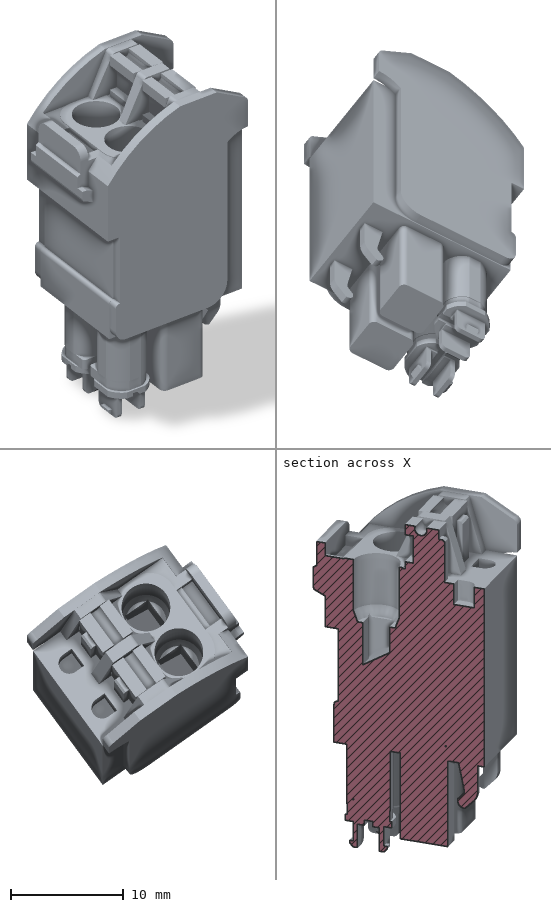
import cadquery as cq
import math


WIDTH = 12.5
DEPTH = 15.25
HEIGHT = 22.5
PLATE = 0.95
POLES = (-2.5, 2.5)
CORE_WIDTH = WIDTH - 2 * PLATE
CORE_HALF = CORE_WIDTH / 2

COLLAR_BOTTOM = 11.11
COLLAR_TOP = 16.97
CREST_REAR_Y = 11.83
CREST_FRONT_Y = 7.85
RECESS_Y = 1.23
PLATE_RECESS_Y = 1.34
FOOT_Y = 0.82
PLATE_FOOT_Y = 0.87
FOOT_TOP = 4.08
FOOT_RADIUS = 0.41
PLATE_BOTTOM = 0.1
PLATE_TOE_RADIUS = 1.1
PLATE_HEEL_RADIUS = 2.1

REAR_LEDGE = 17.39
PLATE_REAR_Y = 12.98
TAB_BOTTOM = 17.67

FLOOR = 18.08
FLOOR_FRONT_Y = 1.07
PAD_TOP = 18.15
PAD_FRONT_Y = 1.79
PAD_REAR_Y = 7.45
PAD_RADIUS = 2.4
BORE_Y = 4.9
BORE_RADIUS = 2.17
BORE_END_RADIUS = 1.8
BORE_DEPTH = 5.0
BORE_TAPER_DEPTH = 1.0
CLAMP_X = 2.9
CLAMP_Y = 2.55
CLAMP_DEPTH = 3.0
CLAMP_SLOPE = 32.0
CLAMP_OVERLAP = 0.5

LEVER_WIDTH = 3.6
LEVER_TOP = 22.39
LEVER_FRONT_Y = 7.65
LEVER_REAR_Y = 10.9
LEVER_STEM_Y = 8.4
LEVER_LEDGE = 18.77
LEVER_BAR_BOTTOM = 21.36
GROOVE_FRONT_Y = 8.67
GROOVE_REAR_Y = 9.7
LEVER_TAB_WIDTH = 1.47
LEVER_TAB_REAR_Y = 11.46
LEVER_TAB_TOP = 21.5
LEVER_TAB_CHAMFER = 0.2
RIB_TOP = HEIGHT - 0.04
RIB_FRONT_Y = 5.98
RIB_REAR_Y = 12.27
RIB_HALF_TOP = 0.59
RIB_HALF_FLOOR = 0.47
SIDE_RIB_TOP = 0.96
SIDE_RIB_FLOOR = 0.74

OPENING_WIDTH = 1.9
OPENING_FRONT_Y = 12.35
OPENING_DEPTH = 2.0

LATCH_HALF = 3.23
LATCH_BOTTOM = 14.1
LATCH_TOP = 19.36
LATCH_CORNER = 1.05
LATCH_TAB_Y = -0.84
LATCH_FRONT_Y = -1.16
LATCH_BACK_Y = 0.04
LATCH_STEP_TOP = 16.75
WING_HALF = 3.98
WING_TOP = 15.6
WING_ROOT_TOP = 15.3
SLOT_HALF = 2.2
SLOT_DEPTH = 0.5
SLOT_STEP_Y = 1.2
SLOT_STEP_DEPTH = 1.0

POST_Y = 4.15
POST_RADIUS = 2.21
POST_FLATS = 4.26
POST_BOTTOM = -5.77
NECK_RADIUS = 2.16
NECK_FLATS = 4.14
NECK_KEY_RADIUS = 0.3
FLANGE_TOP = -6.79
FLANGE_BOTTOM = -7.43
FLANGE_RADIUS = 2.46
FLANGE_FLATS = 4.48
FORK_HALF = 1.48
PRONG_THICKNESS = 0.45
PRONG_WIDTH = 2.93
PRONG_CORNER = 0.5
FORK_BOTTOM = -9.9
BARB_TOP = -9.26
BARB_TIP = -9.5
BARB_REACH = 0.35
BARB_WIDTH = 1.15
FORK_NOTCH_WIDTH = 0.74
FORK_NOTCH_DEPTH = 0.32
FORK_BRIDGE_BOTTOM = -7.62
SOCKET_WIDTH = 4.13
SOCKET_FRONT_Y = 7.18
SOCKET_REAR_Y = 11.75
SOCKET_BOTTOM = -8.35
SOCKET_RADIUS = 0.55
HOOK_WIDTH = 0.75
HOOK_REAR_Y = 14.63
HOOK_ROOT_Y = 12.76
HOOK_THROAT_Y = 13.28

OVERLAP = 0.5


def box(x0, x1, y0, y1, z0, z1):
    """Axis-aligned box between opposite corners."""
    return cq.Workplane("XY").box(x1 - x0, y1 - y0, z1 - z0, centered=False).translate((x0, y0, z0))


def extrude_x(profile, x0, x1):
    """Extrude a closed YZ profile from x0 to x1."""
    return profile.extrude(x1 - x0).translate((x0, 0, 0))


def side_sheet(y, z):
    """Start a YZ profile at the given point."""
    return cq.Workplane("YZ").moveTo(y, z)


def upper_outline(sheet):
    """Continue a side profile up the collar, over the curved brow and the flat top."""
    return (
        sheet.lineTo(0, COLLAR_BOTTOM)
        .lineTo(0, COLLAR_TOP)
        .threePointArc((3.35, 20.27), (CREST_FRONT_Y, HEIGHT))
        .lineTo(CREST_REAR_Y, HEIGHT)
    )


def side_plate_profile():
    toe = PLATE_TOE_RADIUS
    heel = PLATE_HEEL_RADIUS
    diagonal = 1 - math.sqrt(0.5)
    sheet = (
        side_sheet(PLATE_REAR_Y - heel, PLATE_BOTTOM)
        .lineTo(PLATE_FOOT_Y + toe, PLATE_BOTTOM)
        .threePointArc(
            (PLATE_FOOT_Y + toe * diagonal, PLATE_BOTTOM + toe * diagonal),
            (PLATE_FOOT_Y, PLATE_BOTTOM + toe),
        )
        .lineTo(PLATE_FOOT_Y, FOOT_TOP - FOOT_RADIUS)
        .radiusArc((PLATE_FOOT_Y + FOOT_RADIUS, FOOT_TOP), FOOT_RADIUS)
        .lineTo(PLATE_RECESS_Y, FOOT_TOP)
        .lineTo(PLATE_RECESS_Y, COLLAR_BOTTOM)
    )
    return (
        upper_outline(sheet)
        .lineTo(14.75, 20.92)
        .threePointArc((15.09, 20.7), (DEPTH, 20.37))
        .lineTo(DEPTH, TAB_BOTTOM)
        .threePointArc((13.95, 17.38), (PLATE_REAR_Y, 16.8))
        .lineTo(PLATE_REAR_Y, PLATE_BOTTOM + heel)
        .threePointArc(
            (PLATE_REAR_Y - heel * diagonal, PLATE_BOTTOM + heel * diagonal),
            (PLATE_REAR_Y - heel, PLATE_BOTTOM),
        )
        .close()
    )


def core_profile():
    sheet = (
        side_sheet(DEPTH, 0)
        .lineTo(FOOT_Y, 0)
        .lineTo(FOOT_Y, FOOT_TOP - FOOT_RADIUS)
        .radiusArc((FOOT_Y + FOOT_RADIUS, FOOT_TOP), FOOT_RADIUS)
        .lineTo(RECESS_Y, COLLAR_BOTTOM)
    )
    return upper_outline(sheet).lineTo(CREST_REAR_Y, REAR_LEDGE).lineTo(DEPTH, REAR_LEDGE).close()


def housing():
    """Core between the two side plates, opened above the wire entry floor."""
    half = WIDTH / 2
    body = extrude_x(core_profile(), -CORE_HALF, CORE_HALF)
    body = body.union(extrude_x(side_plate_profile(), -half, -CORE_HALF))
    body = body.union(extrude_x(side_plate_profile(), CORE_HALF, half))
    body = body.cut(box(-CORE_HALF, CORE_HALF, FLOOR_FRONT_Y, LEVER_REAR_Y, FLOOR, HEIGHT))
    body = body.cut(box(-CORE_HALF, CORE_HALF, LEVER_REAR_Y, DEPTH, REAR_LEDGE, HEIGHT))
    notch = box(-LATCH_HALF, LATCH_HALF, LATCH_BACK_Y, FLOOR_FRONT_Y, COLLAR_TOP, HEIGHT)
    landing = box(-LATCH_HALF, LATCH_HALF, LATCH_BACK_Y, FLOOR_FRONT_Y, COLLAR_TOP, FLOOR)
    return body.cut(notch).union(landing)


def entry_pad():
    """Slightly raised pad around the wire entries, rounded at its front corners."""
    pad = box(-CORE_HALF, CORE_HALF, PAD_FRONT_Y, PAD_REAR_Y, FLOOR - OVERLAP, PAD_TOP)
    return pad.edges("|Z and <Y").fillet(PAD_RADIUS)


def lever(x):
    """Release lever: two cross bars around a finger groove, on an undercut stem."""
    profile = (
        side_sheet(LEVER_FRONT_Y, REAR_LEDGE - OVERLAP)
        .lineTo(LEVER_FRONT_Y, LEVER_LEDGE)
        .lineTo(LEVER_STEM_Y, LEVER_LEDGE)
        .lineTo(LEVER_STEM_Y, LEVER_BAR_BOTTOM)
        .lineTo(LEVER_FRONT_Y, LEVER_BAR_BOTTOM)
        .lineTo(LEVER_FRONT_Y, LEVER_TOP)
        .lineTo(GROOVE_FRONT_Y, LEVER_TOP)
        .threePointArc((9.35, 21.6), (GROOVE_REAR_Y, 21.95))
        .lineTo(GROOVE_REAR_Y, LEVER_TOP)
        .lineTo(LEVER_REAR_Y, LEVER_TOP)
        .lineTo(LEVER_REAR_Y, REAR_LEDGE - OVERLAP)
        .close()
    )
    bar = extrude_x(profile, x - LEVER_WIDTH / 2, x + LEVER_WIDTH / 2)
    tab_half = LEVER_TAB_WIDTH / 2
    tab = box(x - tab_half, x + tab_half, LEVER_REAR_Y, LEVER_TAB_REAR_Y, REAR_LEDGE, LEVER_TAB_TOP)
    return bar.union(tab.edges(">Y and >Z").chamfer(LEVER_TAB_CHAMFER))


def ribs():
    """Three ribs beside the levers, thinner towards the floor in front of the levers' rear faces."""
    side = extrude_x(
        side_sheet(RIB_FRONT_Y, REAR_LEDGE - OVERLAP)
        .lineTo(RIB_FRONT_Y, PAD_TOP)
        .lineTo(7.87, RIB_TOP - 0.32)
        .threePointArc((8.02, RIB_TOP - 0.09), (8.3, RIB_TOP))
        .lineTo(10.7, RIB_TOP)
        .lineTo(RIB_REAR_Y, REAR_LEDGE)
        .lineTo(RIB_REAR_Y, REAR_LEDGE - OVERLAP)
        .close(),
        -CORE_HALF,
        CORE_HALF,
    )
    low = REAR_LEDGE - OVERLAP
    middle = [
        (-RIB_HALF_FLOOR, low),
        (RIB_HALF_FLOOR, low),
        (RIB_HALF_FLOOR, PAD_TOP),
        (RIB_HALF_TOP, RIB_TOP),
        (-RIB_HALF_TOP, RIB_TOP),
        (-RIB_HALF_FLOOR, PAD_TOP),
    ]
    right = [
        (CORE_HALF, low),
        (CORE_HALF, RIB_TOP),
        (CORE_HALF - SIDE_RIB_TOP, RIB_TOP),
        (CORE_HALF - SIDE_RIB_FLOOR, PAD_TOP),
        (CORE_HALF - SIDE_RIB_FLOOR, low),
    ]
    left = [(-x, z) for x, z in right]
    sections = cq.Workplane("XZ")
    for outline in (left, middle, right):
        sections = sections.polyline(outline).close()
    tapered = side.intersect(sections.extrude(-DEPTH))
    side_inner = CORE_HALF - SIDE_RIB_TOP
    for x0, x1 in ((-CORE_HALF, -side_inner), (-RIB_HALF_TOP, RIB_HALF_TOP), (side_inner, CORE_HALF)):
        rear = side.intersect(box(x0, x1, LEVER_REAR_Y, RIB_REAR_Y, low, RIB_TOP))
        tapered = tapered.union(rear)
    return tapered


def wire_entry(x):
    """Round bore with a tapered end, opening into a rectangular chamber with a sloping floor."""
    bore = cq.Workplane("XY", origin=(x, BORE_Y, PAD_TOP)).circle(BORE_RADIUS).extrude(-BORE_DEPTH)
    taper = (
        cq.Workplane("XY", origin=(x, BORE_Y, PAD_TOP - BORE_DEPTH))
        .circle(BORE_RADIUS)
        .workplane(offset=-BORE_TAPER_DEPTH)
        .circle(BORE_END_RADIUS)
        .loft()
    )
    chamber_top = PAD_TOP - BORE_DEPTH - BORE_TAPER_DEPTH + CLAMP_OVERLAP
    rear_floor = chamber_top - CLAMP_DEPTH
    front_floor = rear_floor - CLAMP_Y * math.tan(math.radians(CLAMP_SLOPE))
    front_y = BORE_Y - CLAMP_Y / 2
    rear_y = BORE_Y + CLAMP_Y / 2
    chamber = extrude_x(
        side_sheet(front_y, front_floor)
        .lineTo(rear_y, rear_floor)
        .lineTo(rear_y, chamber_top)
        .lineTo(front_y, chamber_top)
        .close(),
        x - CLAMP_X / 2,
        x + CLAMP_X / 2,
    )
    return bore.union(taper).union(chamber)


def test_opening(x):
    """Pocket with a straight front and a half-round rear."""
    radius = OPENING_WIDTH / 2
    centre_y = OPENING_FRONT_Y + radius
    return (
        cq.Workplane("XY", origin=(x, 0, REAR_LEDGE))
        .moveTo(-radius, OPENING_FRONT_Y)
        .lineTo(radius, OPENING_FRONT_Y)
        .lineTo(radius, centre_y)
        .threePointArc((0, centre_y + radius), (-radius, centre_y))
        .close()
        .extrude(-OPENING_DEPTH)
    )


def latch_underside():
    """Start a latch profile with its sloping lower edge and small front bevel."""
    return (
        side_sheet(OVERLAP, LATCH_BOTTOM)
        .lineTo(0, LATCH_BOTTOM)
        .lineTo(-1.1, 14.59)
        .lineTo(LATCH_FRONT_Y, 14.8)
    )


def latch():
    """Upright finger tab with a stepped body and two side wings, on the collar front."""
    tab = box(-LATCH_HALF, LATCH_HALF, LATCH_TAB_Y, LATCH_BACK_Y, LATCH_BOTTOM + OVERLAP, LATCH_TOP)
    tab = tab.edges("|Y and >Z").fillet(LATCH_CORNER)
    step = extrude_x(
        latch_underside()
        .lineTo(LATCH_FRONT_Y, LATCH_STEP_TOP)
        .lineTo(LATCH_TAB_Y, COLLAR_TOP)
        .lineTo(OVERLAP, COLLAR_TOP)
        .close(),
        -LATCH_HALF,
        LATCH_HALF,
    )
    wings = extrude_x(
        latch_underside()
        .lineTo(LATCH_FRONT_Y, WING_TOP)
        .lineTo(-0.7, WING_TOP)
        .lineTo(0, WING_ROOT_TOP)
        .lineTo(OVERLAP, WING_ROOT_TOP)
        .close(),
        -WING_HALF,
        WING_HALF,
    )
    return tab.union(step).union(wings)


def latch_slot():
    """Two-step relief in the floor behind the latch tab, deeper next to the tab."""
    shallow = box(-SLOT_HALF, SLOT_HALF, LATCH_BACK_Y, PAD_FRONT_Y, FLOOR - SLOT_DEPTH, PAD_TOP)
    deep = box(-SLOT_HALF, SLOT_HALF, LATCH_BACK_Y, SLOT_STEP_Y, FLOOR - SLOT_STEP_DEPTH, PAD_TOP)
    return shallow.union(deep)


def flatted_disc(radius, flats, z_bottom, z_top):
    """Round disc or post with a flat on each of its four sides."""
    half = flats / 2
    disc = cq.Workplane("XY", origin=(0, 0, z_bottom)).circle(radius).extrude(z_top - z_bottom)
    return disc.intersect(box(-half, half, -half, half, z_bottom, z_top))


def contact_fork():
    """Two parallel prongs facing along X, each with an outward barb at its tip."""
    half_width = PRONG_WIDTH / 2
    prong = box(FORK_HALF - PRONG_THICKNESS, FORK_HALF, -half_width, half_width, FORK_BOTTOM, FLANGE_BOTTOM)
    prong = prong.edges("|X and <Z").fillet(PRONG_CORNER)
    barb = (
        cq.Workplane("XZ", origin=(0, BARB_WIDTH / 2, 0))
        .moveTo(FORK_HALF - PRONG_THICKNESS, BARB_TOP)
        .lineTo(FORK_HALF + BARB_REACH, BARB_TOP)
        .lineTo(FORK_HALF + BARB_REACH, BARB_TIP)
        .lineTo(FORK_HALF, FORK_BOTTOM)
        .lineTo(FORK_HALF - PRONG_THICKNESS, FORK_BOTTOM)
        .close()
        .extrude(BARB_WIDTH)
    )
    prong = prong.union(barb)
    bridge = box(-FORK_HALF, FORK_HALF, -half_width, half_width, FORK_BRIDGE_BOTTOM, FLANGE_BOTTOM)
    return bridge.union(prong).union(prong.mirror("YZ"))


def plug_post(x, fork_turn):
    """Flatted post, keyed neck, flange and contact fork of one pole."""
    post = flatted_disc(POST_RADIUS, POST_FLATS, POST_BOTTOM, OVERLAP)
    neck = flatted_disc(NECK_RADIUS, NECK_FLATS, FLANGE_TOP, POST_BOTTOM)
    neck_half = NECK_FLATS / 2
    key_end = math.copysign(neck_half, -x)
    key = box(min(0, key_end), max(0, key_end), -neck_half, 0, FLANGE_TOP, POST_BOTTOM)
    key_corner = cq.selectors.NearestToPointSelector((key_end, -neck_half, (FLANGE_TOP + POST_BOTTOM) / 2))
    neck = neck.union(key.edges("|Z").edges(key_corner).fillet(NECK_KEY_RADIUS))
    tip = flatted_disc(FLANGE_RADIUS, FLANGE_FLATS, FLANGE_BOTTOM, FLANGE_TOP).union(contact_fork())
    notch_half = FORK_NOTCH_WIDTH / 2
    notch_reach = FLANGE_FLATS / 2
    notch_top = FLANGE_BOTTOM + FORK_NOTCH_DEPTH
    tip = tip.cut(box(-notch_half, notch_half, -notch_reach, notch_reach, FORK_BRIDGE_BOTTOM, notch_top))
    tip = tip.rotate((0, 0, 0), (0, 0, 1), fork_turn)
    return post.union(neck).union(tip).translate((x, POST_Y, 0))


def socket(x):
    """Rounded rectangular column behind a plug post."""
    half = SOCKET_WIDTH / 2
    column = box(x - half, x + half, SOCKET_FRONT_Y, SOCKET_REAR_Y, SOCKET_BOTTOM, OVERLAP)
    return column.edges("|Z").fillet(SOCKET_RADIUS)


def hook(x):
    """Snap hook hanging under the rear of the block."""
    profile = (
        side_sheet(HOOK_REAR_Y, OVERLAP)
        .lineTo(HOOK_REAR_Y, -2.6)
        .threePointArc((14.48, -3.15), (14.16, -3.56))
        .lineTo(13.4, -4.35)
        .threePointArc((12.82, -4.1), (12.7, -3.5))
        .lineTo(HOOK_THROAT_Y, -2.84)
        .lineTo(HOOK_THROAT_Y, -2.5)
        .lineTo(HOOK_ROOT_Y, 0)
        .lineTo(HOOK_ROOT_Y, OVERLAP)
        .close()
    )
    return extrude_x(profile, x - HOOK_WIDTH / 2, x + HOOK_WIDTH / 2)


result = housing().union(entry_pad()).union(ribs()).cut(latch_slot()).union(latch())

for pole, fork_turn in zip(POLES, (0, 90)):
    result = result.union(lever(pole))
    result = result.cut(wire_entry(pole))
    result = result.cut(test_opening(pole))
    result = result.union(plug_post(pole, fork_turn))
    result = result.union(socket(pole))
    result = result.union(hook(pole))